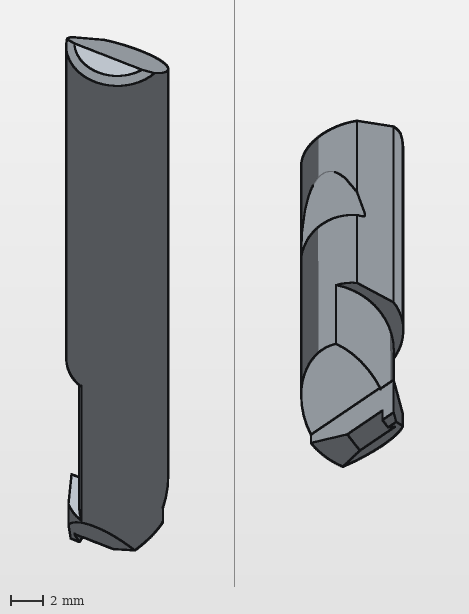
import cadquery as cq
import math

length = 50.8
diameter = 6.35
radius = diameter / 2
margin = 2.55
reach = radius + margin

rim_inset = 0.5
rim_height = 0.35
rear_cut_start_y = -1.25

flat_edge_y = 2.4

notch_bottom_z = 30.8
notch_top_z = 39.4
notch_depth = 1.45
notch_corner_radius = 0.8

neck_bottom_z = 5.65
neck_top_z = 19.05
neck_left_x = -2.15
neck_edge_x = -0.95

rake_cut_z = 5.85
head_floor_z = 1.65
tip_width = 0.85
tip_thickness = 0.6
clearance_top_z = 5.8
flank_end_y = -2.2
nose_chamfer_size = 2.8


def prism_along_x(points):
    """Extrude a YZ outline right across the bar."""
    return cq.Workplane("YZ").polyline(points).close().extrude(reach, both=True)


def prism_along_z(points, bottom, top):
    """Extrude an XY outline between two heights."""
    return cq.Workplane("XY").workplane(offset=bottom).polyline(points).close().extrude(top - bottom)


def shank():
    profile = [
        (0, 0),
        (radius, 0),
        (radius, length - rim_height),
        (radius - rim_inset, length),
        (0, length),
    ]
    return cq.Workplane("XZ").polyline(profile).close().revolve(360, (0, 0), (0, 1))


def rear_cut():
    run = reach - rear_cut_start_y
    return prism_along_x([
        (rear_cut_start_y - margin, length + margin),
        (reach, length + margin),
        (reach, length - run),
    ])


def side_flat():
    edge_x = -math.sqrt(radius**2 - flat_edge_y**2)
    slope = (edge_x + radius) / flat_edge_y
    return prism_along_z([
        (-radius, 0),
        (-radius + slope * reach, reach),
        (-reach, reach),
        (-reach, 0),
    ], neck_top_z, length + margin)


def clamping_notch():
    slope = notch_depth / (notch_top_z - notch_bottom_z)
    notch = prism_along_x([
        (radius - notch_depth, notch_bottom_z),
        (reach, notch_bottom_z),
        (reach, notch_top_z + margin / slope),
    ])
    inner_corner = cq.selectors.NearestToPointSelector((0, radius - notch_depth, notch_bottom_z))
    return notch.edges("|X").edges(inner_corner).fillet(notch_corner_radius)


def neck_relief():
    sagitta = neck_edge_x - neck_left_x
    half_chord_squared = radius**2 - neck_edge_x**2
    neck_radius = (half_chord_squared + sagitta**2) / (2 * sagitta)
    height = neck_top_z - neck_bottom_z
    base = cq.Workplane("XY").workplane(offset=neck_bottom_z)
    side_block = base.center((neck_edge_x - reach) / 2, 0).rect(reach + neck_edge_x, 2 * reach).extrude(height)
    core = base.center(neck_left_x + neck_radius, 0).circle(neck_radius).extrude(height)
    return side_block.cut(core)


def rake_cut():
    return prism_along_x([
        (0, -margin),
        (0, rake_cut_z),
        (reach, rake_cut_z + reach),
        (reach, -margin),
    ])


def clearance_cut():
    slope = clearance_top_z / (radius - tip_thickness)
    return prism_along_x([
        (-tip_thickness + margin / slope, -margin),
        (-reach, clearance_top_z + slope * margin),
        (-reach, -margin),
    ])


def flank_cut():
    end_x = -math.sqrt(radius**2 - flank_end_y**2)
    slope = (end_x + radius) / -flank_end_y
    return prism_along_z([
        (-radius, 0),
        (-radius + slope * reach, -reach),
        (-reach, -reach),
        (-reach, 0),
    ], -margin, neck_bottom_z)


def nose_cut():
    tip_x = -radius + tip_width
    outline = [
        (tip_x, -margin),
        (tip_x, head_floor_z),
        (radius - nose_chamfer_size, head_floor_z),
        (reach, head_floor_z + nose_chamfer_size + margin),
        (reach, -margin),
    ]
    return cq.Workplane("XZ").polyline(outline).close().extrude(reach, both=True)


result = shank()
cutters = (
    rear_cut, side_flat, clamping_notch, neck_relief, rake_cut, clearance_cut, flank_cut, nose_cut
)
for cutter in cutters:
    result = result.cut(cutter())